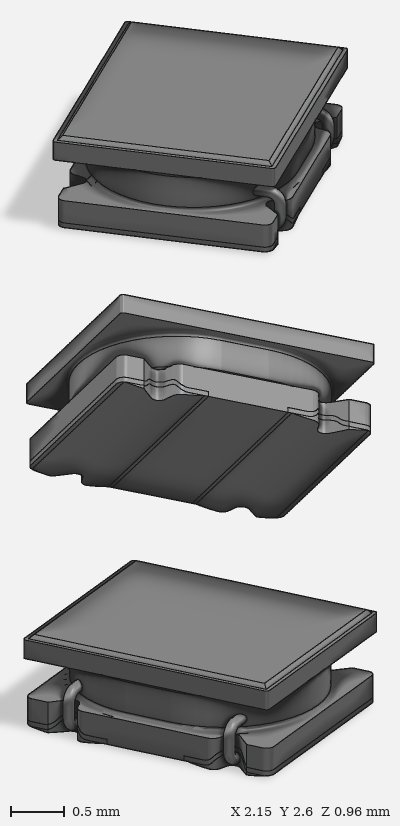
import cadquery as cq
import math

length_x = 2.15
length_y = 2.6
half_x = length_x / 2
half_y = length_y / 2

base_bottom = 0.04
base_top = 0.32
flange_bottom = 0.73
flange_top = 0.92
lid_top = 0.96

corner_radius = 0.03
lid_inset = 0.04

block_half_y = 0.668
ear_half_x = half_x - 0.04
ear_end_y = 1.053
ear_corner_radius = 0.08
notch_round_x = 1.022
notch_round_y = 0.75
notch_round_mid_x = 1.058
notch_round_mid_y = 0.715
notch_tip_x = 0.87
notch_tip_in_x = 0.91
notch_tip_in_y = 0.785
notch_tip_out_x = 0.895
notch_tip_out_y = ear_end_y - (ear_half_x - notch_tip_out_x)

winding_width = 2.012
winding_length = 2.495
winding_thickness = 0.155
neck_fillet = 0.05
winding_bottom = base_top + neck_fillet
winding_top = flange_bottom - neck_fillet

wire_diameter = 0.11
lead_y = 0.85
lead_top_z = 0.445
lead_bottom_z = 0.083
lead_drop_x = 1.004
lead_bend_radius = 0.117
lead_start_x = 0.69
lead_end_x = -0.74

terminal_thickness = 0.05
terminal_inner_y = 0.408
hump_height = 0.101
hump_flat = 0.035
hump_half_width = 0.235

solder_half_width = 0.403

sides = (-1, 1)


def block(width, length, bottom, top):
    """Upright rectangular block, centred on the Z axis."""
    return cq.Workplane("XY", origin=(0, 0, bottom)).rect(width, length).extrude(top - bottom)


def oval(inset, bottom, top):
    """Upright prism with round ends, smaller than the winding by the inset all around."""
    return (
        cq.Workplane("XY", origin=(0, 0, bottom))
        .slot2D(winding_length - 2 * inset, winding_width - 2 * inset, 90)
        .extrude(top - bottom)
    )


def notch_cutter(x_side, y_side):
    """Prism outside one ear and its notch, for cutting a rectangular base."""

    def at(x, y):
        return (x_side * x, y_side * y)

    beyond = half_x + 0.025
    return (
        cq.Workplane("XY")
        .moveTo(*at(beyond, block_half_y))
        .lineTo(*at(half_x, block_half_y))
        .threePointArc(at(notch_round_mid_x, notch_round_mid_y), at(notch_round_x, notch_round_y))
        .lineTo(*at(notch_tip_in_x, notch_tip_in_y))
        .threePointArc(at(notch_tip_x, lead_y), at(notch_tip_out_x, notch_tip_out_y))
        .lineTo(*at(ear_half_x, ear_end_y))
        .lineTo(*at(ear_half_x, half_y - ear_corner_radius))
        .radiusArc(at(ear_half_x - ear_corner_radius, half_y), -x_side * y_side * ear_corner_radius)
        .lineTo(*at(beyond, half_y))
        .close()
        .extrude(base_top)
    )


def make_base_prism():
    """Base outline from the ground up to the top of the base."""
    prism = block(length_x, length_y, 0, base_top)
    for x_side in sides:
        for y_side in sides:
            prism = prism.cut(notch_cutter(x_side, y_side))
    return prism


def draw_hump(sketch, y_side, level, start_y):
    """Continue a YZ outline along the humped line, from start_y to the other end of the hump."""
    arc_width = hump_half_width - hump_flat
    arc_radius = (arc_width**2 + hump_height**2) / (4 * hump_height)
    half_angle = math.atan2(hump_height, arc_width)
    mid_dy = arc_radius * math.sin(half_angle)
    mid_dz = arc_radius * (1 - math.cos(half_angle))
    peak = level + hump_height

    foot = (hump_half_width, level)
    foot_arc = (hump_half_width - mid_dy, level + mid_dz)
    middle = (hump_flat + arc_width / 2, level + hump_height / 2)
    crest_arc = (hump_flat + mid_dy, peak - mid_dz)
    crest = (hump_flat, peak)

    def at(offset, side):
        return (y_side * (lead_y + side * offset[0]), offset[1])

    return (
        sketch.moveTo(y_side * start_y, level)
        .lineTo(*at(foot, 1))
        .threePointArc(at(foot_arc, 1), at(middle, 1))
        .threePointArc(at(crest_arc, 1), at(crest, 1))
        .lineTo(*at(crest, -1))
        .threePointArc(at(crest_arc, -1), at(middle, -1))
        .threePointArc(at(foot_arc, -1), at(foot, -1))
    )


def below_hump(y_side, level):
    """Bar along X filling everything under the humped line at the given level."""
    sketch = draw_hump(cq.Workplane("YZ", origin=(-half_x, 0, 0)), y_side, level, half_y)
    return (
        sketch.lineTo(y_side * terminal_inner_y, level)
        .lineTo(y_side * terminal_inner_y, 0)
        .lineTo(y_side * half_y, 0)
        .close()
        .extrude(length_x)
    )


def make_lead(y_side):
    """Wire from the winding, down through the notch and back under the terminal."""
    bend_mid = lead_bend_radius * math.sqrt(0.5)
    bend_x = lead_drop_x - lead_bend_radius
    upper_z = lead_top_z - lead_bend_radius
    lower_z = lead_bottom_z + lead_bend_radius
    path = (
        cq.Workplane("XZ", origin=(0, y_side * lead_y, 0))
        .moveTo(lead_start_x, lead_top_z)
        .lineTo(bend_x, lead_top_z)
        .threePointArc((bend_x + bend_mid, upper_z + bend_mid), (lead_drop_x, upper_z))
        .lineTo(lead_drop_x, lower_z)
        .threePointArc((bend_x + bend_mid, lower_z - bend_mid), (bend_x, lead_bottom_z))
        .lineTo(lead_end_x, lead_bottom_z)
    )
    section = cq.Workplane("YZ", origin=(lead_start_x, y_side * lead_y, lead_top_z))
    return section.circle(wire_diameter / 2).sweep(path)


def make_neck():
    """Core neck inside the winding."""
    return oval(winding_thickness, winding_bottom, winding_top)


def make_winding():
    """Ring of wound wire with both leads."""
    ring = oval(0, winding_bottom, winding_top).cut(make_neck())
    for y_side in sides:
        ring = ring.union(make_lead(y_side))
    return ring


def make_terminal(base_prism, y_side):
    """Sheet in the underside of the base, cut to the base outline."""
    sheet = below_hump(y_side, base_bottom + terminal_thickness).cut(below_hump(y_side, base_bottom))
    return sheet.intersect(base_prism)


def make_solder(base_prism, y_side):
    """Solder between the terminal and a shallow dome, around the lead."""
    dome = (
        cq.Workplane("YZ", origin=(-half_x, 0, 0))
        .moveTo(y_side * (lead_y + solder_half_width), base_bottom)
        .threePointArc((y_side * lead_y, 0), (y_side * (lead_y - solder_half_width), base_bottom))
        .close()
        .extrude(length_x)
    )
    filling = below_hump(y_side, base_bottom).cut(block(length_x, length_y, 0, base_bottom))
    return dome.union(filling).intersect(base_prism).cut(make_lead(y_side))


def make_spool():
    """Two rectangular plates on an oval drum, with concave flares at both ends of the drum."""
    base = block(length_x, length_y, base_bottom, base_top)
    drum = oval(0, base_top, flange_bottom)
    flange = block(length_x, length_y, flange_bottom, flange_top)
    return base.union(drum).union(flange).edges("%CIRCLE").fillet(neck_fillet)


def make_lid():
    """Raised top with sides sloping at 45 degrees."""
    return (
        cq.Workplane("XY", origin=(0, 0, flange_top))
        .rect(length_x - 2 * lid_inset, length_y - 2 * lid_inset)
        .extrude(lid_top - flange_top, taper=45)
    )


def make_core():
    """Base and upper flange joined by the neck, with recesses for the winding and the terminals."""
    rounded_block = block(length_x, length_y, 0, flange_top).edges("|Z").fillet(corner_radius)
    core = make_spool().intersect(rounded_block)
    core = core.cut(block(length_x, length_y, winding_bottom, winding_top))
    core = core.union(make_neck()).union(make_lid())
    for y_side in sides:
        for x_side in sides:
            core = core.cut(notch_cutter(x_side, y_side))
        core = core.cut(below_hump(y_side, base_bottom + terminal_thickness))
    return core


base_prism = make_base_prism()
core = make_core()
winding = make_winding()
terminals = [make_terminal(base_prism, y_side) for y_side in sides]
solders = [make_solder(base_prism, y_side) for y_side in sides]

bodies = [core, winding, *terminals, *solders]
result = cq.Compound.makeCompound([body.solids().val() for body in bodies])